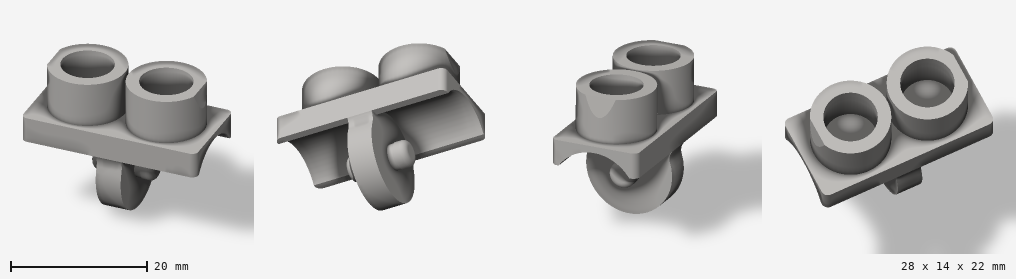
import cadquery as cq
import math

plate_length = 28.0
plate_width = plate_length / 2
plate_height = plate_length / 7
corner_radius = plate_length / 28

tube_outer_radius = 6.0
tube_bore_radius = 4.0
tube_height = 7.0
tube_spacing = 12.6
flat_height = 3.05
flat_inset = 0.53

tongue_radius = plate_width / 2
tongue_thickness = plate_height
tongue_drop = plate_height
neck_radius = 2.0

pin_length = 10.0
pin_radius = 2.0
head_radius = 2.1
head_length = 2.0
head_rounding = 0.98


def x_cylinder(radius, length, start_x):
    """Cylinder along X, on the axis of the tongue."""
    return (
        cq.Workplane("YZ", origin=(start_x, 0, -tongue_drop))
        .circle(radius)
        .extrude(length)
    )


def make_plate():
    plate = (
        cq.Workplane("XY")
        .box(plate_length, plate_width, plate_height, centered=(True, True, False))
        .edges("|Z")
        .fillet(corner_radius)
    )
    return plate.cut(x_cylinder(tongue_radius, plate_length, -plate_length / 2))


def make_tube(side):
    """Tube at the given end (-1 or 1), with a sloped flat on its outer side."""
    center_x = side * tube_spacing / 2
    outer_x = side * (tube_spacing / 2 + tube_outer_radius)
    top_z = plate_height + tube_height
    tube = (
        cq.Workplane("XY", origin=(center_x, 0, plate_height))
        .circle(tube_outer_radius)
        .circle(tube_bore_radius)
        .extrude(tube_height)
    )
    flat_cutter = (
        cq.Workplane("XZ")
        .moveTo(outer_x, top_z - flat_height)
        .lineTo(outer_x, top_z)
        .lineTo(outer_x - side * flat_inset, top_z)
        .close()
        .extrude(tube_outer_radius, both=True)
    )
    return tube.cut(flat_cutter)


def make_tongue():
    """Disc joined to the plate edges by a concave arc on each side."""
    edge_y = plate_width / 2
    edge_distance = math.hypot(edge_y, tongue_drop)
    center_distance = tongue_radius + neck_radius
    edge_angle = math.atan2(tongue_drop, edge_y)
    angle_cosine = (center_distance**2 + edge_distance**2 - neck_radius**2) / (
        2 * center_distance * edge_distance
    )
    center_angle = edge_angle - math.acos(angle_cosine)
    arc_y = center_distance * math.cos(center_angle)
    arc_z = center_distance * math.sin(center_angle) - tongue_drop
    touch_y = tongue_radius * math.cos(center_angle)
    touch_z = tongue_radius * math.sin(center_angle) - tongue_drop

    middle_angle = math.atan2(touch_z / 2 - arc_z, (touch_y + edge_y) / 2 - arc_y)
    middle_y = arc_y + neck_radius * math.cos(middle_angle)
    middle_z = arc_z + neck_radius * math.sin(middle_angle)

    neck = (
        cq.Workplane("YZ", origin=(-tongue_thickness / 2, 0, 0))
        .moveTo(-edge_y, 0)
        .lineTo(edge_y, 0)
        .threePointArc((middle_y, middle_z), (touch_y, touch_z))
        .lineTo(-touch_y, touch_z)
        .threePointArc((-middle_y, middle_z), (-edge_y, 0))
        .close()
        .extrude(tongue_thickness)
    )
    return neck.union(x_cylinder(tongue_radius, tongue_thickness, -tongue_thickness / 2))


def make_pin():
    pin_end = pin_length / 2
    shaft_length = pin_length - head_length
    pin = x_cylinder(pin_radius, shaft_length, -shaft_length / 2)
    left_head = x_cylinder(head_radius, head_length, -pin_end)
    left_head = left_head.faces("<X").edges().fillet(head_rounding)
    right_head = left_head.mirror("YZ")
    return pin.union(left_head).union(right_head)


result = make_plate().union(make_tongue()).union(make_pin())
for side in (-1, 1):
    result = result.union(make_tube(side))